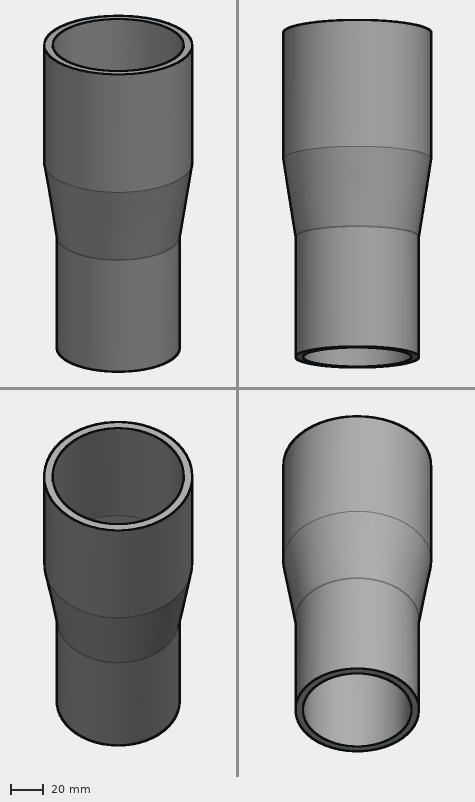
import cadquery as cq

length = 200.0
large_outer_diameter = 90.0
large_bore_diameter = 79.5
small_outer_diameter = 75.0
small_bore_diameter = 66.0
taper_bottom = 73.8
taper_top = 122.0

ring_height = 0.5
ring_flare = 0.05


def revolve_about_z(profile):
    """Turn a closed XZ profile a full circle about the Z axis."""
    return profile.revolve(360, (0, 0, 0), (0, 1, 0))


def make_outer_body():
    """Small cylinder, narrow ring, cone and large cylinder."""
    small_radius = small_outer_diameter / 2
    large_radius = large_outer_diameter / 2
    profile = (
        cq.Workplane("XZ")
        .lineTo(small_radius, 0)
        .lineTo(small_radius, taper_bottom)
        .lineTo(small_radius + ring_flare, taper_bottom + ring_height)
        .lineTo(large_radius, taper_top)
        .lineTo(large_radius, length)
        .lineTo(0, length)
        .close()
    )
    return revolve_about_z(profile)


def make_bore():
    """Through bore that follows the taper of the outside."""
    small_radius = small_bore_diameter / 2
    large_radius = large_bore_diameter / 2
    profile = (
        cq.Workplane("XZ")
        .lineTo(small_radius, 0)
        .lineTo(small_radius, taper_bottom)
        .lineTo(large_radius, taper_top)
        .lineTo(large_radius, length)
        .lineTo(0, length)
        .close()
    )
    return revolve_about_z(profile)


result = make_outer_body().cut(make_bore())